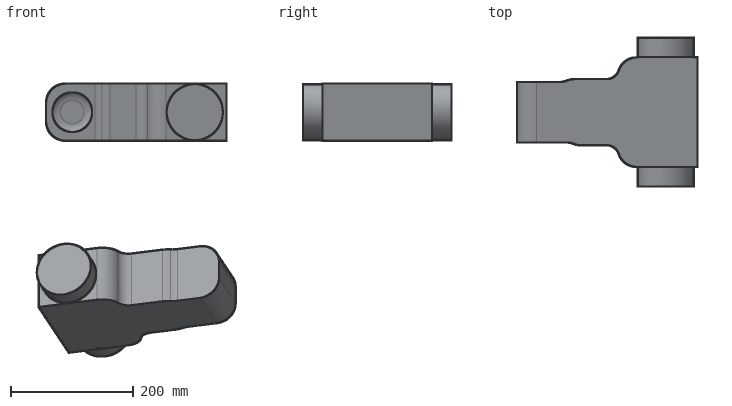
import cadquery as cq
import math

length = 296.0
height = 94.0
pin_span = 244.0
pin_diameter = 92.0
pin_x = 244.0

nose_half_width = 49.7
neck_half_width = 54.5
head_half_width = 90.0
nose_radius = 32.3

front_step_end_x = 105.5
back_step_end_x = 95.3
step_root_radius = 30.0
step_crest_radius = 36.0
shoulder_end_x = 196.5
shoulder_radius = 31.7
shoulder_root_radius = 20.0

recess_x = 43.2
recess_diameter = 65.0
recess_floor_diameter = 38.8
recess_depth = 5.0


def s_curve(end_x, low, high, root_radius, crest_radius):
    """Five points of two tangent arcs that widen the body from low to high."""
    radius_sum = root_radius + crest_radius
    angle = math.acos(1 - (high - low) / radius_sum)
    start_x = end_x - radius_sum * math.sin(angle)

    def root_point(turn):
        return (start_x + root_radius * math.sin(turn), low + root_radius * (1 - math.cos(turn)))

    def crest_point(turn):
        return (end_x - crest_radius * math.sin(turn), high - crest_radius * (1 - math.cos(turn)))

    return [
        root_point(0),
        root_point(angle / 2),
        root_point(angle),
        crest_point(angle / 2),
        crest_point(0),
    ]


def add_s_curve(outline, points):
    """Draw a line to the first point, then the two arcs."""
    start, root_mid, joint, crest_mid, end = points
    return outline.lineTo(*start).threePointArc(root_mid, joint).threePointArc(crest_mid, end)


def half_body(side, step_end_x):
    """Half of the body on one side of the XZ plane: side is -1 for front, 1 for back."""
    step = s_curve(
        step_end_x, nose_half_width, neck_half_width, step_root_radius, step_crest_radius
    )
    shoulder = s_curve(
        shoulder_end_x, neck_half_width, head_half_width, shoulder_root_radius, shoulder_radius
    )
    outline = cq.Workplane("XY").workplane(offset=-height / 2).moveTo(0, 0)
    outline = outline.lineTo(0, side * nose_half_width)
    for curve in (step, shoulder):
        outline = add_s_curve(outline, [(x, side * y) for x, y in curve])
    outline = outline.lineTo(length, side * head_half_width).lineTo(length, 0).close()
    return outline.extrude(height)


def make_body():
    body = half_body(-1, front_step_end_x).union(half_body(1, back_step_end_x)).clean()
    return body.faces("<X").edges("|Y").fillet(nose_radius)


def make_pins():
    """One round bar through the head, standing out on both sides."""
    return (
        cq.Workplane("XZ").center(pin_x, 0).circle(pin_diameter / 2).extrude(pin_span / 2, both=True)
    )


def make_recess():
    """Solid of revolution: flat floor blending tangentially into a dished wall."""
    floor_radius = recess_floor_diameter / 2
    wall_width = recess_diameter / 2 - floor_radius
    wall_radius = (wall_width**2 + recess_depth**2) / (2 * recess_depth)
    half_turn = math.asin(wall_width / wall_radius) / 2
    floor_y = -nose_half_width + recess_depth
    wall_mid = (
        floor_radius + wall_radius * math.sin(half_turn),
        floor_y - wall_radius * (1 - math.cos(half_turn)),
    )
    return (
        cq.Workplane("XY")
        .moveTo(0, -nose_half_width)
        .lineTo(0, floor_y)
        .lineTo(floor_radius, floor_y)
        .threePointArc(wall_mid, (recess_diameter / 2, -nose_half_width))
        .close()
        .revolve(360, (0, 0, 0), (0, 1, 0))
        .translate((recess_x, 0, 0))
    )


result = make_body().union(make_pins()).cut(make_recess())